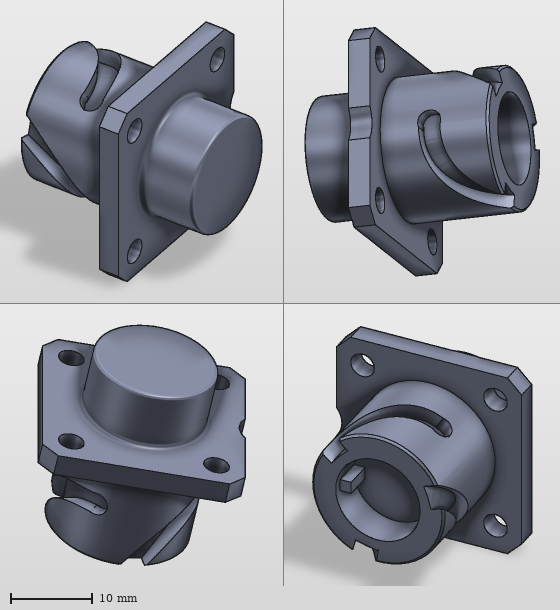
import cadquery as cq
import math

total_length = 24.7
flange_front = 14.2
flange_thickness = 2.8
flange_back = flange_front + flange_thickness

shell_diameter = 18.16
shell_chamfer = 0.3
bore_diameter = 11.55
bore_depth = 5.0

key_width = 1.6
key_inner_y = 4.2
key_front = 1.1
key_embed = 0.5

spigot_diameter = 15.6
spigot_edge_radius = 0.45
spigot_root_radius = 0.75

flange_side = 25.4
flange_corner_chamfer = 1.95
mount_hole_pitch = 18.2
mount_hole_diameter = 3.2
notch_radius = 3.2
notch_depth = 0.75

groove_count = 3
groove_width = 2.8
groove_floor_radius = 7.2
groove_mouth_angle = 42.0
groove_sweep_angle = 80.6
groove_end_x = 7.78
groove_curve_power = 2.4
groove_stations = 24
groove_overshoot = 0.2
lock_hole_diameter = 3.0

shell_radius = shell_diameter / 2
bore_radius = bore_diameter / 2
cutter_clearance = 1.0
cutter_outer_radius = shell_radius + cutter_clearance


def make_shell():
    shell = cq.Workplane("YZ").circle(shell_radius).extrude(flange_back)
    shell = shell.faces("<X").edges().chamfer(shell_chamfer)
    bore = cq.Workplane("YZ").circle(bore_radius).extrude(bore_depth)
    return shell.cut(bore)


def make_flange():
    flange = (
        cq.Workplane("YZ", origin=(flange_front, 0, 0))
        .rect(flange_side, flange_side)
        .extrude(flange_thickness)
        .edges("|X")
        .chamfer(flange_corner_chamfer)
        .faces(">X")
        .workplane(centerOption="CenterOfBoundBox")
        .rect(mount_hole_pitch, mount_hole_pitch, forConstruction=True)
        .vertices()
        .hole(mount_hole_diameter)
    )
    notch_center_y = flange_side / 2 - notch_depth + notch_radius
    notch = (
        cq.Workplane("YZ", origin=(flange_front, 0, 0))
        .center(notch_center_y, 0)
        .circle(notch_radius)
        .extrude(flange_thickness)
    )
    return flange.cut(notch)


def make_spigot():
    """Plain cylinder with a rounded end and a concave root collar at the flange."""
    radius = spigot_diameter / 2
    root = spigot_root_radius
    spigot = (
        cq.Workplane("YZ", origin=(flange_back, 0, 0))
        .circle(radius)
        .extrude(total_length - flange_back)
        .faces(">X")
        .edges()
        .fillet(spigot_edge_radius)
    )
    collar = (
        cq.Workplane("XY")
        .moveTo(flange_back, 0)
        .lineTo(flange_back, radius + root)
        .radiusArc((flange_back + root, radius), -root)
        .lineTo(flange_back + root, 0)
        .close()
        .revolve(360, (0, 0, 0), (1, 0, 0))
    )
    return spigot.union(collar)


def make_key():
    key_height = bore_radius - key_inner_y + key_embed
    return (
        cq.Workplane("XY")
        .box(bore_depth - key_front, key_height, key_width, centered=(False, False, True))
        .translate((key_front, key_inner_y, 0))
    )


def radial_direction(angle):
    return cq.Vector(0, math.cos(angle), math.sin(angle))


def groove_section(share):
    """Rectangular section at a share of the path: 0 at the mating face, 1 at the locked end."""
    left = 1 - share
    angle = math.radians(groove_mouth_angle + groove_sweep_angle * share)
    x = groove_end_x * (1 - left**groove_curve_power)
    rise = groove_end_x * groove_curve_power * left ** (groove_curve_power - 1)
    travel = shell_radius * math.radians(groove_sweep_angle)

    radial = radial_direction(angle)
    around = cq.Vector(0, -math.sin(angle), math.cos(angle))
    across = (cq.Vector(travel, 0, 0) - around * rise).normalized() * (groove_width / 2)
    floor = cq.Vector(x, 0, 0) + radial * groove_floor_radius
    top = cq.Vector(x, 0, 0) + radial * cutter_outer_radius
    return cq.Wire.makePolygon([floor - across, floor + across, top + across, top - across], close=True)


def make_groove():
    """Cutter for one groove: a ruled curved channel ending in a round lock hole."""
    step = (1 + groove_overshoot) / groove_stations
    sections = [groove_section(1 - i * step) for i in range(groove_stations + 1)]
    channel = cq.Solid.makeLoft(sections, True)

    end_angle = math.radians(groove_mouth_angle + groove_sweep_angle)
    radial = radial_direction(end_angle)
    lock_hole = cq.Solid.makeCylinder(
        lock_hole_diameter / 2,
        cutter_outer_radius - groove_floor_radius,
        cq.Vector(groove_end_x, 0, 0) + radial * groove_floor_radius,
        radial,
    )
    return cq.Workplane(obj=channel).union(cq.Workplane(obj=lock_hole))


result = make_shell().union(make_flange()).union(make_spigot())
result = result.union(make_key())

groove = make_groove()
for i in range(groove_count):
    result = result.cut(groove.rotate((0, 0, 0), (1, 0, 0), i * 360 / groove_count))